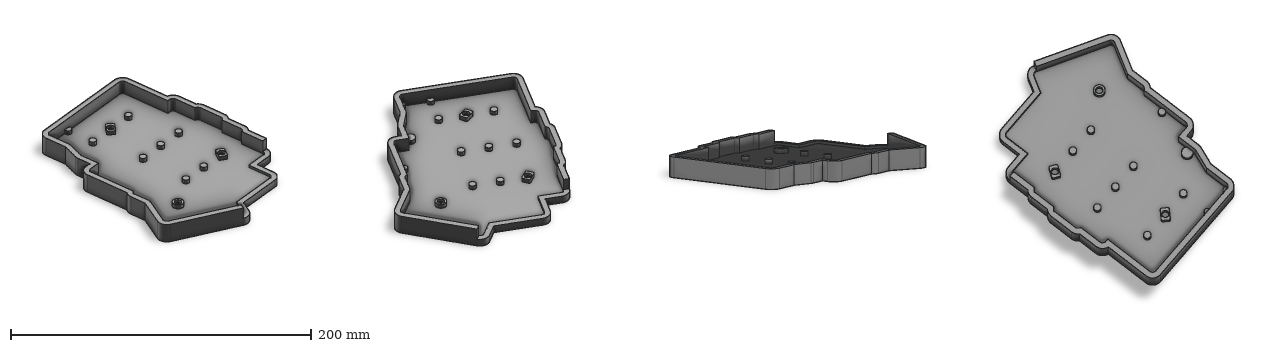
import cadquery as cq
import math

case_height = 14.0
floor_thickness = 3.9
low_wall_height = 5.7

wall = 4.0
corner_radius = 2.7

left = wall
left_top = 115.7
left_bottom = 34.9
ring_column_left = 43.1
ring_top = 120.5
middle_column_left = 62.4
middle_column_right = 85.3
middle_top = 122.8
index_column_left = 104.0
index_top = 118.1
index_right = 124.7
side_top = 99.7
side_right = 145.2
side_bottom = 60.7
slope_left = 24.0
slope_right = 37.6
slope_bottom = 29.5
lower_left = 52.3
lower_bottom = 18.4
lower_step = 91.0
thumb_bottom = 16.3

thumb_tilt = math.radians(30)
thumb_upper_length = 15.3
thumb_width = 57.7

outline_overlap = 9.7

key_pitch = 19.0
column_spacing = 2 * key_pitch
first_column_x = 26.2
column_bottoms = [56.5, 62.4, 60.5]
rows = 3
peg_diameter = 5.0
peg_height = 3.0
edge_pegs = [(5.2, 56.5), (5.2, 36.7), (73.7, 20.7)]
wide_peg_position = (42.3, 32.6)

post_diameter = 7.8
screw_hole_diameter = 4.8
round_post_position = (115.7, 35.2)
block_length = 8.7
block_width = 6.1
block_corner_radius = 1.1
block_posts = {(0, 1): -45, (2, 2): -35}


def along_tilt(point, distance):
    """Point reached by moving down the thumb tilt."""
    return (
        point[0] + distance * math.cos(thumb_tilt),
        point[1] - distance * math.sin(thumb_tilt),
    )


def across_tilt(point, distance):
    """Point reached by moving down at right angles to the thumb tilt."""
    return (
        point[0] - distance * math.sin(thumb_tilt),
        point[1] - distance * math.cos(thumb_tilt),
    )


def case_solid(corner_lists, outset, bottom, top):
    """Prism over the joined outlines, their outward corners rounded, grown by outset."""
    solid = cq.Workplane()
    for corners in corner_lists:
        prism = (
            cq.Workplane(origin=(0, 0, bottom))
            .polyline(corners)
            .close()
            .offset2D(-corner_radius, "arc")
            .offset2D(corner_radius + outset, "arc")
            .extrude(top - bottom)
        )
        solid = solid.union(prism)
    return solid


def floor_plane():
    return cq.Workplane(origin=(0, 0, floor_thickness))


thumb_upper_left = (side_right, side_bottom)
thumb_upper_right = along_tilt(thumb_upper_left, thumb_upper_length)
thumb_lower_right = across_tilt(thumb_upper_right, thumb_width)
thumb_left = thumb_lower_right[0] - (thumb_bottom - thumb_lower_right[1]) / math.tan(thumb_tilt)

body_corners = [
    (left, left_top),
    (middle_column_left, left_top),
    (middle_column_left, index_top),
    (index_right, index_top),
    (index_right, side_top),
    (side_right, side_top),
    (side_right, side_bottom - outline_overlap),
    (thumb_left, lower_bottom),
    (lower_left, lower_bottom),
    (lower_left, slope_bottom),
    (slope_right, slope_bottom),
    (slope_left, left_bottom),
    (left, left_bottom),
]
ring_corners = [
    (ring_column_left, ring_top),
    (index_column_left, ring_top),
    (index_column_left, side_top),
    (ring_column_left, side_top),
]
middle_corners = [
    (middle_column_left, middle_top),
    (middle_column_right, middle_top),
    (middle_column_right, side_top),
    (middle_column_left, side_top),
]
thumb_corners = [
    along_tilt(thumb_upper_left, -outline_overlap),
    thumb_upper_right,
    thumb_lower_right,
    (thumb_left, thumb_bottom),
    (lower_step, thumb_bottom),
    (lower_step, side_bottom),
]
outlines = [body_corners, ring_corners, middle_corners, thumb_corners]

case = case_solid(outlines, wall, 0, case_height)
cavity = case_solid(outlines, 0, floor_thickness, case_height)
case = case.cut(cavity)

low_wall_start = index_right - corner_radius
low_wall_end = across_tilt(thumb_upper_right, corner_radius)
low_wall_end_outside = along_tilt(low_wall_end, 2 * wall)
above_case = middle_top + 2 * wall
wall_lowering = (
    cq.Workplane(origin=(0, 0, low_wall_height))
    .polyline([
        (low_wall_start, low_wall_end[1]),
        low_wall_end,
        low_wall_end_outside,
        (low_wall_end_outside[0], above_case),
        (low_wall_start, above_case),
    ])
    .close()
    .extrude(case_height - low_wall_height)
)
case = case.cut(wall_lowering)

peg_positions = list(edge_pegs)
screw_positions = [round_post_position]
for column, column_bottom in enumerate(column_bottoms):
    for row in range(rows):
        position = (first_column_x + column * column_spacing, column_bottom + row * key_pitch)
        if (column, row) not in block_posts:
            peg_positions.append(position)
            continue
        block = (
            floor_plane()
            .rect(block_length, block_width)
            .extrude(peg_height)
            .edges("|Z")
            .fillet(block_corner_radius)
            .rotate((0, 0, 0), (0, 0, 1), block_posts[(column, row)])
            .translate(position)
        )
        case = case.union(block)
        screw_positions.append(position)

pegs = floor_plane().pushPoints(peg_positions).circle(peg_diameter / 2).extrude(peg_height)
wide_posts = (
    floor_plane()
    .pushPoints([wide_peg_position, round_post_position])
    .circle(post_diameter / 2)
    .extrude(peg_height)
)
case = case.union(pegs).union(wide_posts)

screw_holes = (
    floor_plane()
    .pushPoints(screw_positions)
    .circle(screw_hole_diameter / 2)
    .extrude(peg_height)
)
result = case.cut(screw_holes)